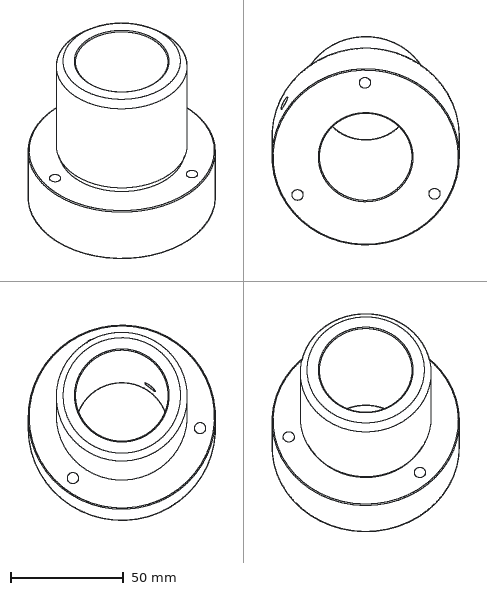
import cadquery as cq

flange_diameter = 83.0
flange_height = 28.0
flange_chamfer = 0.5

total_height = 80.0
sleeve_diameter = 58.0
sleeve_chamfer = 3.0
groove_diameter = 56.0
groove_height = 3.0

bore_diameter = 41.0
bore_chamfer = 0.5

hole_count = 3
hole_diameter = 5.0
hole_circle_radius = 35.0
first_hole_angle = -90.0

radial_hole_diameter = 6.0
radial_hole_height = flange_height / 2


def make_flange():
    flange = cq.Workplane("XY").circle(flange_diameter / 2).extrude(flange_height)
    return flange.faces("<Z or >Z").edges().chamfer(flange_chamfer)


def make_sleeve():
    sleeve_start = flange_height + groove_height
    neck = cq.Workplane("XY").circle(groove_diameter / 2).extrude(sleeve_start)
    sleeve = (
        cq.Workplane("XY", origin=(0, 0, sleeve_start))
        .circle(sleeve_diameter / 2)
        .extrude(total_height - sleeve_start)
        .faces(">Z")
        .edges()
        .chamfer(sleeve_chamfer)
    )
    return neck.union(sleeve)


def make_bore():
    """Bore cutter, widened by a small chamfer at both ends."""
    bore_radius = bore_diameter / 2
    mouth_radius = bore_radius + bore_chamfer
    return (
        cq.Workplane("XZ")
        .moveTo(0, 0)
        .lineTo(mouth_radius, 0)
        .lineTo(bore_radius, bore_chamfer)
        .lineTo(bore_radius, total_height - bore_chamfer)
        .lineTo(mouth_radius, total_height)
        .lineTo(0, total_height)
        .close()
        .revolve(360, (0, 0, 0), (0, 1, 0))
    )


def make_screw_holes():
    return (
        cq.Workplane("XY")
        .polarArray(hole_circle_radius, first_hole_angle, 360, hole_count)
        .circle(hole_diameter / 2)
        .extrude(flange_height)
    )


def make_radial_hole():
    return (
        cq.Workplane("XZ", origin=(0, 0, radial_hole_height))
        .circle(radial_hole_diameter / 2)
        .extrude(-flange_diameter / 2)
    )


body = make_flange().union(make_sleeve())
result = body.cut(make_bore()).cut(make_screw_holes()).cut(make_radial_hole())